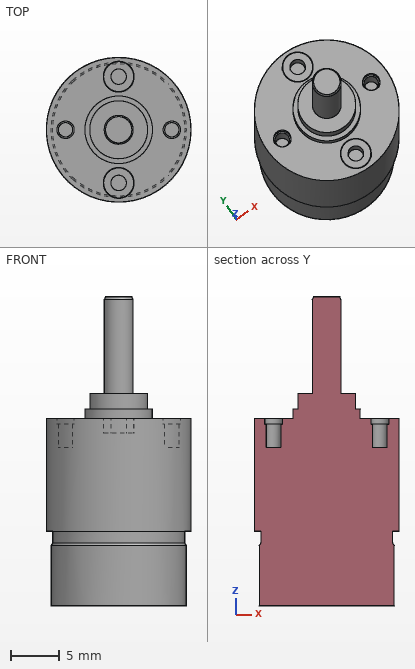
import cadquery as cq

motor_diameter = 14.0
motor_height = 6.25
neck_diameter = 13.7
shoulder_height = 0.25
gearbox_diameter = 15.0
gearbox_bottom = 7.7
gearbox_top = 19.4
flange_diameter = 7.0
flange_height = 1.0
bearing_diameter = 6.0
bearing_top = 22.0
shaft_diameter = 3.0
total_height = 32.0
shaft_tip_chamfer_height = 0.3
shaft_tip_chamfer_width = 0.14

hole_circle_radius = 5.5
screw_pocket_diameter = 3.2
screw_head_diameter = 3.1
screw_head_depth = 1.5
screw_socket_diameter = 1.6
screw_socket_depth = 1.5
mounting_mouth_diameter = 1.8
mounting_mouth_depth = 0.6
mounting_core_diameter = 1.48
mounting_core_depth = 3.0


def cylinder(diameter, bottom, top, x=0.0, y=0.0):
    """Upright cylinder between two heights."""
    return cq.Workplane("XY", origin=(x, y, bottom)).circle(diameter / 2).extrude(top - bottom)


def make_body():
    """Motor, neck, gearbox, flange, bearing and shaft, revolved as one profile."""
    flange_top = gearbox_top + flange_height
    shaft_radius = shaft_diameter / 2
    profile = [
        (0, 0),
        (motor_diameter / 2, 0),
        (motor_diameter / 2, motor_height),
        (neck_diameter / 2, motor_height + shoulder_height),
        (neck_diameter / 2, gearbox_bottom),
        (gearbox_diameter / 2, gearbox_bottom),
        (gearbox_diameter / 2, gearbox_top),
        (flange_diameter / 2, gearbox_top),
        (flange_diameter / 2, flange_top),
        (bearing_diameter / 2, flange_top),
        (bearing_diameter / 2, bearing_top),
        (shaft_radius, bearing_top),
        (shaft_radius, total_height - shaft_tip_chamfer_height),
        (shaft_radius - shaft_tip_chamfer_width, total_height),
        (0, total_height),
    ]
    return cq.Workplane("XZ").polyline(profile).close().revolve(360, (0, 0, 0), (0, 1, 0))


def screw_cut(y):
    """Thin clearance ring around a flush screw head, plus the socket in the head."""
    head_bottom = gearbox_top - screw_head_depth
    pocket = cylinder(screw_pocket_diameter, head_bottom, gearbox_top, y=y)
    head = cylinder(screw_head_diameter, head_bottom, gearbox_top, y=y)
    socket = cylinder(screw_socket_diameter, gearbox_top - screw_socket_depth, gearbox_top, y=y)
    return pocket.cut(head).union(socket)


def mounting_hole_cut(x):
    """Stepped mounting hole: a wide mouth over a narrower core."""
    mouth = cylinder(mounting_mouth_diameter, gearbox_top - mounting_mouth_depth, gearbox_top, x=x)
    core = cylinder(mounting_core_diameter, gearbox_top - mounting_core_depth, gearbox_top, x=x)
    return mouth.union(core)


result = make_body()
for side in (-1, 1):
    result = result.cut(screw_cut(side * hole_circle_radius))
    result = result.cut(mounting_hole_cut(side * hole_circle_radius))